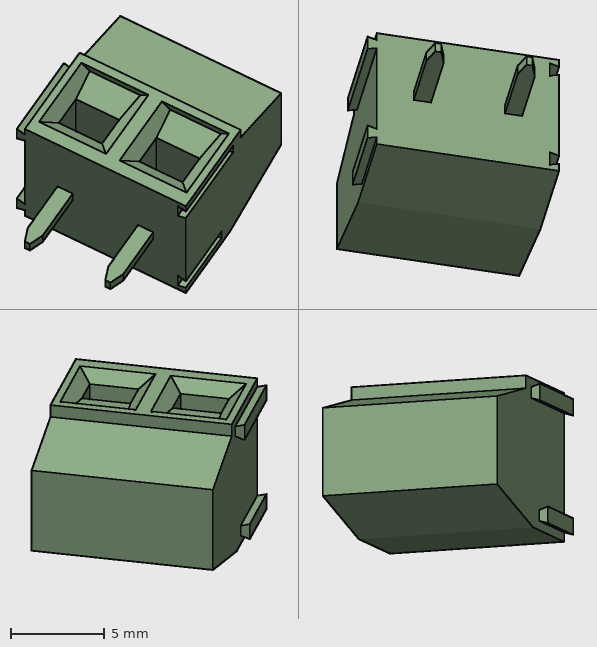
import cadquery as cq
import math


POLES = 2
HOUSING_WIDTH = 10.0
PITCH = HOUSING_WIDTH / POLES
OVERALL_LENGTH = 14.1

HOUSING_HEIGHT = 8.1
PIN_LENGTH = 4.0
HOUSING_DEPTH = OVERALL_LENGTH - PIN_LENGTH
TOP_FLAT = 5.8
BOTTOM_FLAT = 4.7
TOP_STEP = 0.7
REAR_SLOPE = math.tan(math.radians(15))

DOVETAIL_DEPTH = 0.51
DOVETAIL_WIDE = 0.9
DOVETAIL_NARROW = 0.59
DOVETAIL_EDGE_DISTANCE = 0.8
UPPER_DOVETAIL_LENGTH = 4.99
LOWER_DOVETAIL_LENGTH = 3.79

PIN_WIDTH = 0.95
PIN_THICKNESS = 0.6
PIN_TIP_WIDTH = 0.32
PIN_TIP_LENGTH = 0.83
PIN_CENTER_Z = 3.9

MOUTH_WIDTH = 4.16
MOUTH_FRONT = 0.79
MOUTH_BACK = 5.27
MOUTH_DEPTH = 0.59
MOUTH_BACK_WALL = 0.41
WELL_WIDTH = 2.68
WELL_FRONT = 1.62
WELL_BACK = 3.43
WELL_FLOOR_DEPTH = 4.0


def make_housing():
    """Block whose rear top and rear bottom slope towards the back."""
    rear_top = HOUSING_HEIGHT - TOP_STEP - (HOUSING_DEPTH - TOP_FLAT) * REAR_SLOPE
    rear_bottom = (HOUSING_DEPTH - BOTTOM_FLAT) * REAR_SLOPE
    profile = [
        (0, 0),
        (BOTTOM_FLAT, 0),
        (HOUSING_DEPTH, rear_bottom),
        (HOUSING_DEPTH, rear_top),
        (TOP_FLAT, HOUSING_HEIGHT - TOP_STEP),
        (TOP_FLAT, HOUSING_HEIGHT),
        (0, HOUSING_HEIGHT),
    ]
    return cq.Workplane("YZ").polyline(profile).close().extrude(HOUSING_WIDTH)


def make_dovetail(root_x, center_z, length):
    """Bar running back from the front face, widening from root_x towards -X."""
    tip_x = root_x - DOVETAIL_DEPTH
    section = [
        (root_x, center_z - DOVETAIL_NARROW / 2),
        (root_x, center_z + DOVETAIL_NARROW / 2),
        (tip_x, center_z + DOVETAIL_WIDE / 2),
        (tip_x, center_z - DOVETAIL_WIDE / 2),
    ]
    return cq.Workplane("XZ").polyline(section).close().extrude(-length)


def make_pin(center_x):
    """Flat pin on the front face with a tapered tip."""
    shoulder_y = PIN_TIP_LENGTH - PIN_LENGTH
    outline = [
        (center_x - PIN_WIDTH / 2, 0),
        (center_x + PIN_WIDTH / 2, 0),
        (center_x + PIN_WIDTH / 2, shoulder_y),
        (center_x + PIN_TIP_WIDTH / 2, -PIN_LENGTH),
        (center_x - PIN_TIP_WIDTH / 2, -PIN_LENGTH),
        (center_x - PIN_WIDTH / 2, shoulder_y),
    ]
    bottom = cq.Workplane("XY", origin=(0, 0, PIN_CENTER_Z - PIN_THICKNESS / 2))
    return bottom.polyline(outline).close().extrude(PIN_THICKNESS)


def make_wire_opening(center_x):
    """Volume of one opening: the mouth is a side profile cut to a tapering width."""
    mouth_bottom = HOUSING_HEIGHT - MOUTH_DEPTH
    side_profile = [
        (MOUTH_FRONT, HOUSING_HEIGHT),
        (WELL_FRONT, mouth_bottom),
        (WELL_BACK, mouth_bottom),
        (MOUTH_BACK, HOUSING_HEIGHT - MOUTH_BACK_WALL),
        (MOUTH_BACK, HOUSING_HEIGHT),
    ]
    width_profile = [
        (center_x - MOUTH_WIDTH / 2, HOUSING_HEIGHT),
        (center_x + MOUTH_WIDTH / 2, HOUSING_HEIGHT),
        (center_x + WELL_WIDTH / 2, mouth_bottom),
        (center_x - WELL_WIDTH / 2, mouth_bottom),
    ]
    mouth = cq.Workplane("YZ").polyline(side_profile).close().extrude(HOUSING_WIDTH)
    taper = cq.Workplane("XZ").polyline(width_profile).close().extrude(-HOUSING_DEPTH)
    well = cq.Workplane("XY").box(
        WELL_WIDTH,
        WELL_BACK - WELL_FRONT,
        WELL_FLOOR_DEPTH - MOUTH_DEPTH,
        centered=(True, False, False),
    )
    well_corner = (center_x, WELL_FRONT, HOUSING_HEIGHT - WELL_FLOOR_DEPTH)
    return mouth.intersect(taper).union(well.translate(well_corner))


result = make_housing()

dovetail_rows = [
    (HOUSING_HEIGHT - DOVETAIL_EDGE_DISTANCE, UPPER_DOVETAIL_LENGTH),
    (DOVETAIL_EDGE_DISTANCE, LOWER_DOVETAIL_LENGTH),
]
for row_z, row_length in dovetail_rows:
    result = result.union(make_dovetail(0, row_z, row_length))
    result = result.cut(make_dovetail(HOUSING_WIDTH, row_z, row_length))

for pole in range(POLES):
    pole_x = (pole + 0.5) * PITCH
    result = result.union(make_pin(pole_x))
    result = result.cut(make_wire_opening(pole_x))